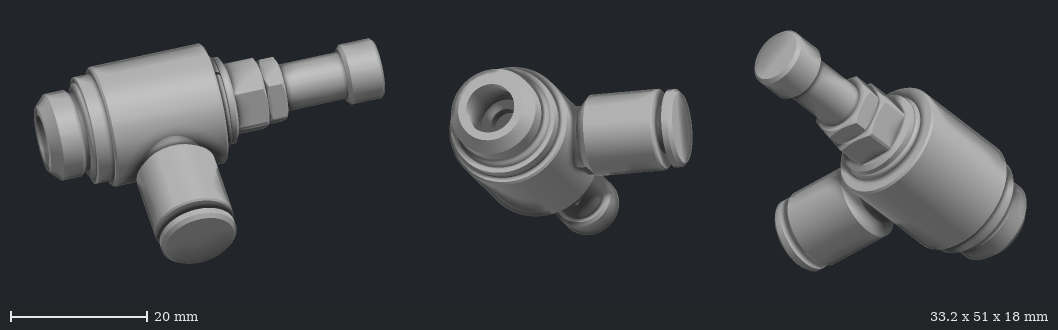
import cadquery as cq
import math


sleeve_radius = 9.0
sleeve_length = 17.1
sleeve_chamfer = 0.3
sleeve_end = sleeve_length / 2

branch_neck_radius = 4.5
branch_root_fillet = 0.2
fitting_radius = 6.0
fitting_cone_start = 9.3
fitting_cone_end = fitting_cone_start + (fitting_radius - branch_neck_radius)
fitting_end = 21.3
fitting_chamfer = 0.25
release_neck_radius = 3.6
release_flange_radius = 5.75
release_flange_start = 22.7
release_cone_length = 0.25
release_cone_rise = 0.15
release_flange_chamfer = 0.55
branch_end = 24.2

shank_radius = 6.0
collar_radius = 8.0
collar_length = 2.45
seal_outer_radius = 7.25
seal_section_radius = 0.95
seal_overhang = 0.7
undercut_radius = 5.85
undercut_end = -12.2
thread_radius = 6.5
thread_lead_in = 1.6
front_end = -17.35
bore_radius = 3.7
bore_depth = 8.0
pilot_bore_radius = 2.25
pilot_bore_depth = 10.0

collar_front = -(sleeve_end + collar_length)
seal_centre_radius = seal_outer_radius - seal_section_radius
seal_front = collar_front - seal_overhang
seal_centre_y = seal_front + seal_section_radius

snap_ring_radius = 6.9
snap_ring_section_radius = 0.55
snap_ring_gap = 0.5
snap_ring_clearance = 0.1
snap_ring_y = sleeve_end + snap_ring_section_radius
head_radius = 6.5
head_start = snap_ring_y + snap_ring_section_radius + snap_ring_clearance
head_end = 11.0
head_bevel = 0.45
head_top_radius = 5.65

hex_across_flats = 10.0
hex_corner_diameter = 11.3
hex_end = 15.85
nut_across_flats = 9.0
nut_end = 18.85
hex_bevel_angle = 30.0
hex_bevel_inset = 0.15
stem_radius = 3.5
knob_radius = 4.5
knob_start = 28.2
knob_chamfer = 0.5
back_end = 33.66


def cylinder_y(radius, start, end):
    """Cylinder on the Y axis between two Y positions."""
    return cq.Workplane("XZ", origin=(0, start, 0)).circle(radius).extrude(start - end)


def cylinder_x(radius, start, end):
    """Cylinder on the X axis between two X positions."""
    return cq.Workplane("YZ", origin=(start, 0, 0)).circle(radius).extrude(end - start)


def bevelled_hexagon(across_flats, corner_diameter, start, end, bevel_both_ends):
    """Hexagon along Y with two flats facing +-Z, its corners rounded and bevelled by a turning cut."""
    corner_radius = corner_diameter / 2
    end_face_radius = across_flats / 2 - hex_bevel_inset
    bevel = (corner_radius - end_face_radius) * math.tan(math.radians(hex_bevel_angle))
    prism = (
        cq.Workplane("XZ", origin=(0, start, 0))
        .polygon(6, across_flats / math.cos(math.pi / 6))
        .extrude(start - end)
    )
    outline = cq.Workplane("XY").moveTo(0, start)
    if bevel_both_ends:
        outline = outline.lineTo(end_face_radius, start).lineTo(corner_radius, start + bevel)
    else:
        outline = outline.lineTo(corner_radius, start)
    turned = (
        outline.lineTo(corner_radius, end - bevel)
        .lineTo(end_face_radius, end)
        .lineTo(0, end)
        .close()
        .revolve(360, (0, 0, 0), (0, 1, 0))
    )
    return prism.intersect(turned)


def make_elbow():
    """Sleeve with a necked tube fitting and release collar, bored for the bolt shank."""
    sleeve = cylinder_y(sleeve_radius, -sleeve_end, sleeve_end).edges().chamfer(sleeve_chamfer)
    fitting = (
        cq.Workplane("XY")
        .lineTo(0, branch_neck_radius)
        .lineTo(fitting_cone_start, branch_neck_radius)
        .lineTo(fitting_cone_end, fitting_radius)
        .lineTo(fitting_end - fitting_chamfer, fitting_radius)
        .lineTo(fitting_end, fitting_radius - fitting_chamfer)
        .lineTo(fitting_end, 0)
        .close()
        .revolve(360, (0, 0, 0), (1, 0, 0))
    )
    swivel = sleeve.union(fitting)
    root_edges = cq.selectors.BoxSelector(
        (0, -fitting_radius, -fitting_radius),
        (sleeve_radius, fitting_radius, fitting_radius),
    )
    swivel = swivel.edges(root_edges).fillet(branch_root_fillet)
    release_neck = (
        cq.Workplane("XY")
        .moveTo(fitting_end, 0)
        .lineTo(fitting_end, release_neck_radius)
        .lineTo(release_flange_start - release_cone_length, release_neck_radius)
        .lineTo(release_flange_start, release_neck_radius + release_cone_rise)
        .lineTo(release_flange_start, 0)
        .close()
        .revolve(360, (0, 0, 0), (1, 0, 0))
    )
    release_flange = (
        cylinder_x(release_flange_radius, release_flange_start, branch_end)
        .faces(">X")
        .chamfer(release_flange_chamfer)
    )
    elbow = swivel.union(release_neck).union(release_flange)
    return elbow.cut(cylinder_y(shank_radius, -sleeve_end, sleeve_end))


def make_bolt_core():
    """Turned part of the bolt, from the threaded front end up to the head under the hexagon."""
    seal_inner_y = seal_centre_y - math.sqrt(
        seal_section_radius**2 - (seal_centre_radius - undercut_radius) ** 2
    )
    seal_side_radius = seal_centre_radius + math.sqrt(
        seal_section_radius**2 - (seal_centre_y - collar_front) ** 2
    )
    thread_chamfer = thread_radius - undercut_radius
    return (
        cq.Workplane("XY")
        .moveTo(0, front_end)
        .lineTo(thread_radius - thread_lead_in, front_end)
        .lineTo(thread_radius, front_end + thread_lead_in)
        .lineTo(thread_radius, undercut_end - thread_chamfer)
        .lineTo(undercut_radius, undercut_end)
        .lineTo(undercut_radius, seal_inner_y)
        .threePointArc((seal_centre_radius, seal_front), (seal_side_radius, collar_front))
        .lineTo(collar_radius, collar_front)
        .lineTo(collar_radius, -sleeve_end)
        .lineTo(shank_radius, -sleeve_end)
        .lineTo(shank_radius, head_start)
        .lineTo(head_radius, head_start)
        .lineTo(head_radius, head_end - head_bevel)
        .lineTo(head_top_radius, head_end)
        .lineTo(0, head_end)
        .close()
        .revolve(360, (0, 0, 0), (0, 1, 0))
    )


def make_snap_ring():
    """Round-wire ring lying on the sleeve, open at +Z."""
    wire_centre_radius = snap_ring_radius - snap_ring_section_radius
    ring = (
        cq.Workplane("XY")
        .center(wire_centre_radius, snap_ring_y)
        .circle(snap_ring_section_radius)
        .revolve(360, (-wire_centre_radius, 0, 0), (-wire_centre_radius, 1, 0))
    )
    gap = cq.Workplane("XY", origin=(0, snap_ring_y, 0)).box(
        snap_ring_gap,
        2 * snap_ring_section_radius,
        snap_ring_radius,
        centered=(True, True, False),
    )
    return ring.cut(gap)


def make_bolt():
    """Bolt with snap ring, hexagon, lock nut, stem and knob, and a stepped bore in its front end."""
    hexagon = bevelled_hexagon(hex_across_flats, hex_corner_diameter, head_end, hex_end, False)
    nut = bevelled_hexagon(
        nut_across_flats, nut_across_flats / math.cos(math.pi / 6), hex_end, nut_end, True
    )
    stem = cylinder_y(stem_radius, nut_end, knob_start)
    knob = cylinder_y(knob_radius, knob_start, back_end).edges().chamfer(knob_chamfer)
    bore = cylinder_y(bore_radius, front_end, front_end + bore_depth)
    pilot_bore = cylinder_y(pilot_bore_radius, front_end, front_end + pilot_bore_depth)
    bolt = make_bolt_core()
    for section in (make_snap_ring(), hexagon, nut, stem, knob):
        bolt = bolt.union(section)
    return bolt.cut(bore).cut(pilot_bore)


elbow = make_elbow()
bolt = make_bolt()

result = cq.Compound.makeCompound([elbow.val(), bolt.val()])